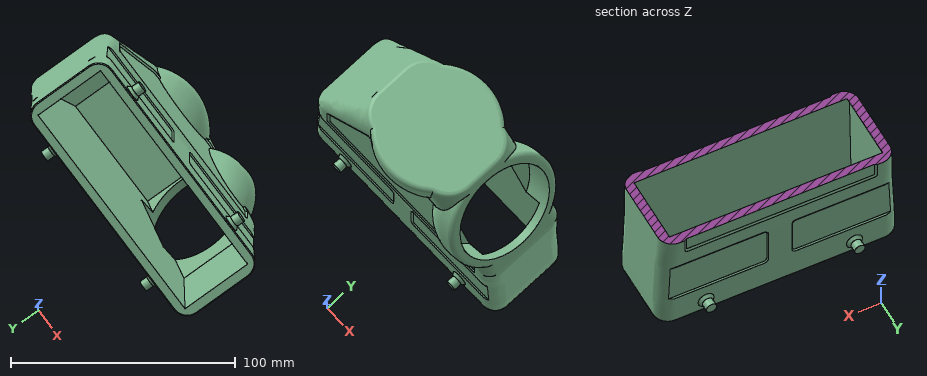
import cadquery as cq
import math

height = 110.0
base_half_length = 60.0
base_half_width = 21.6
upper_half_width = 22.5
base_top = 10.0
step_bottom = 37.5
step_top = 47.6
shoulder_bottom = 55.0
shoulder_top = 57.5
shoulder_bottom_half_length = 58.1
shoulder_half_length = 57.2
top_half_length = 30.0
wall_corner_radius = 7.5
shoulder_corner_radius = 5.8
top_corner_radius = 14.4
base_edge_break = 0.5

slope_run = shoulder_half_length - top_half_length
slope_rise = height - shoulder_top
slope_length = math.hypot(slope_run, slope_rise)
normal_x = slope_rise / slope_length
normal_z = slope_run / slope_length

boss_radius = 30.0
rim_rounding = 2.5
boss_straight_depth = 7.2
boss_curve_radius = 19.2
boss_curve_drop = 17.4

entry_diameter = 50.0
entry_depth = 14.4
wall = 4.8
cavity_half_width = 17.3
cavity_half_length = 55.2

panel_depth = 0.7
panel_border = 1.2
panel_half_length = 48.1
panel_bottom = 46.8
panel_side_top = 60.0
panel_top = 95.0
panel_top_half_length = 21.1
panel_top_rounding = 5.4
panel_bottom_rounding = 1.8

label_depth = 0.7
label_border = 0.6
label_bottom = 15.7
label_inner_x = 5.8
label_rounding = 2.4

pin_x = 37.1
pin_z = 6.1
pin_radius = 2.6
pin_tip = 27.0
collar_radius = 4.0
collar_height = 1.5


def rounded_section(half_length, half_width, radius, z):
    sketch = cq.Sketch().rect(2 * half_length, 2 * half_width).vertices().fillet(radius)
    return sketch.moved(cq.Location(cq.Vector(0, 0, z)))


def loft_sections(*sections):
    return cq.Workplane("XY").placeSketch(*sections).loft(ruled=True)


def wall_section(half_width, z):
    """Section of the lower walls, whose ends lean in steadily above the straight base."""
    lean = (base_half_length - shoulder_bottom_half_length) / (shoulder_bottom - base_top)
    half_length = base_half_length - lean * max(0, z - base_top)
    return rounded_section(half_length, half_width, wall_corner_radius, z)


def hood_body():
    body = loft_sections(
        wall_section(base_half_width, 0),
        wall_section(base_half_width, base_top),
        wall_section(base_half_width, step_bottom),
        wall_section(upper_half_width, step_top),
        wall_section(upper_half_width, shoulder_bottom),
        rounded_section(shoulder_half_length, upper_half_width, shoulder_corner_radius, shoulder_top),
        rounded_section(top_half_length, upper_half_width, top_corner_radius, height),
    )
    body = body.faces(">Z").edges().fillet(rim_rounding)
    return body.faces("<Z").edges().chamfer(base_edge_break).clean()


def entry_boss():
    """Boss with its face at the origin, its axis along Z and its domed underside downward."""
    curve_center = boss_radius - boss_curve_radius

    def curve_point(drop):
        reach = curve_center + math.sqrt(boss_curve_radius**2 - drop**2)
        return reach, -boss_straight_depth - drop

    rim_offset = rim_rounding * (1 - math.sqrt(0.5))
    end = curve_point(boss_curve_drop)
    return (
        cq.Workplane("XZ")
        .lineTo(boss_radius - rim_rounding, 0)
        .threePointArc((boss_radius - rim_offset, -rim_offset), (boss_radius, -rim_rounding))
        .lineTo(boss_radius, -boss_straight_depth)
        .threePointArc(curve_point(boss_curve_drop / 2), end)
        .lineTo(0, end[1])
        .close()
        .revolve(360, (0, 0, 0), (0, 1, 0))
    )


def on_slope(shape):
    """Move a shape from the origin to the middle of the +X incline, its Z along the face normal."""
    tilt = math.degrees(math.atan2(normal_x, normal_z))
    middle = ((shoulder_half_length + top_half_length) / 2, 0, (shoulder_top + height) / 2)
    return shape.rotate((0, 0, 0), (0, 1, 0), tilt).translate(middle)


def sunken_area(sketch, face_y, depth, border):
    """Shallow recess in the -Y face whose edge slopes inward over the border width."""
    taper = math.degrees(math.atan2(border, depth))
    face = cq.Workplane("XZ", origin=(0, -face_y, 0))
    return face.placeSketch(sketch).extrude(-depth, taper=taper)


def face_panel():
    outline = [
        (-panel_half_length, panel_bottom),
        (panel_half_length, panel_bottom),
        (panel_half_length, panel_side_top),
        (panel_top_half_length, panel_top),
        (-panel_top_half_length, panel_top),
        (-panel_half_length, panel_side_top),
    ]
    sketch = (
        cq.Sketch().polygon(outline + outline[:1])
        .vertices(">Y").fillet(panel_top_rounding)
        .reset().vertices("<Y").fillet(panel_bottom_rounding)
    )
    return sunken_area(sketch, upper_half_width, panel_depth, panel_border)


def label_recess():
    """Label recess on the +X half of the -Y face, running out through the rounded corner."""
    outline = [
        (label_inner_x, label_bottom),
        (base_half_length, label_bottom),
        (base_half_length, step_bottom),
        (label_inner_x, step_bottom),
    ]
    sketch = cq.Sketch().polygon(outline + outline[:1]).vertices("<X").fillet(label_rounding)
    return sunken_area(sketch, base_half_width, label_depth, label_border)


def locking_pin():
    """Pin on the -Y face at +X, with a conical collar at its root."""
    root = cavity_half_width + wall / 2
    return (
        cq.Workplane("XY")
        .moveTo(0, -root)
        .lineTo(collar_radius, -root)
        .lineTo(collar_radius, -base_half_width)
        .lineTo(pin_radius, -base_half_width - collar_height)
        .lineTo(pin_radius, -pin_tip)
        .lineTo(0, -pin_tip)
        .close()
        .revolve(360, (0, 0, 0), (0, 1, 0))
        .translate((pin_x, 0, pin_z))
    )


def cavity():
    """Open-bottomed inside, its inclined ends one wall thickness behind the outer inclines."""
    ceiling = height - wall

    def incline_x(z):
        return shoulder_half_length - wall / normal_x - (z - shoulder_top) * slope_run / slope_rise

    knee_z = shoulder_bottom - wall / 2
    knee_x = incline_x(knee_z)
    top_x = incline_x(ceiling)
    outline = [
        (-cavity_half_length, 0),
        (cavity_half_length, 0),
        (knee_x, knee_z),
        (top_x, ceiling),
        (-top_x, ceiling),
        (-knee_x, knee_z),
    ]
    return cq.Workplane("XZ").polyline(outline).close().extrude(cavity_half_width, both=True)


def on_both_faces(shape):
    return shape.union(shape.mirror("XZ"))


def on_both_ends(shape):
    return shape.union(shape.mirror("YZ"))


hood = hood_body()
hood = hood.cut(on_both_faces(face_panel()))
hood = hood.cut(on_both_faces(on_both_ends(label_recess())))
hood = hood.union(entry_boss().translate((0, 0, height)))
hood = hood.union(on_slope(entry_boss()))
hood = hood.union(on_both_faces(on_both_ends(locking_pin())))

entry_hole = cq.Workplane("XY").circle(entry_diameter / 2).extrude(-entry_depth)
result = hood.cut(cavity()).cut(on_slope(entry_hole))